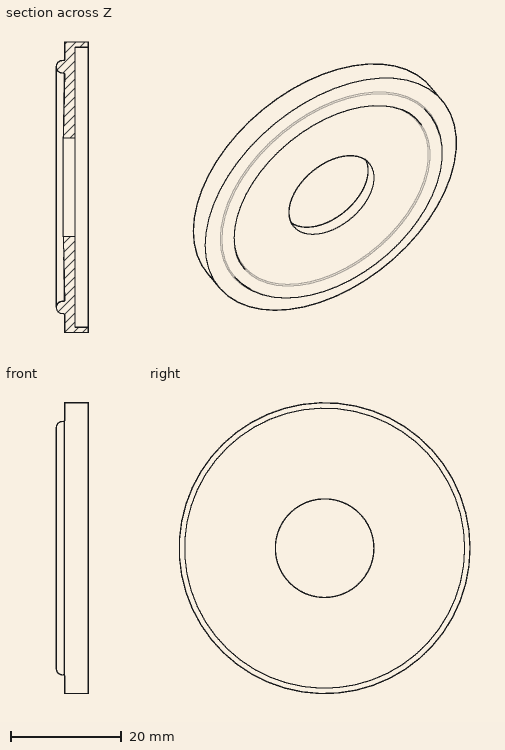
import cadquery as cq
import math

outer_diameter = 52.5
total_thickness = 5.8
disc_thickness = 4.25
hole_diameter = 17.75
hole_length = 2.15
hole_rise = 0.25
bead_middle_radius = 21.75
bead_radius = 1.15
foot_radius = 0.2
recess_diameter = 50.5

outer_radius = outer_diameter / 2
hole_radius = hole_diameter / 2
recess_radius = recess_diameter / 2

back_x = total_thickness / 2
crest_x = -back_x
front_x = back_x - disc_thickness
hole_front_x = front_x - hole_rise
recess_floor_x = hole_front_x + hole_length

bead_center_x = crest_x + bead_radius
foot_center_x = front_x - foot_radius
foot_axial = foot_center_x - bead_center_x
foot_offset = math.sqrt((bead_radius + foot_radius) ** 2 - foot_axial**2)
foot_angle = math.atan2(foot_axial, foot_offset)
join_x = bead_center_x + bead_radius * math.sin(foot_angle)
join_offset = bead_radius * math.cos(foot_angle)

middle_angle = (math.pi / 2 - foot_angle) / 2
foot_middle_x = foot_center_x + foot_radius * math.sin(middle_angle)
foot_middle_offset = foot_offset - foot_radius * math.cos(middle_angle)

section = (
    cq.Workplane("XY")
    .moveTo(recess_floor_x, hole_radius)
    .lineTo(hole_front_x, hole_radius)
    .lineTo(front_x, bead_middle_radius - foot_offset)
    .threePointArc(
        (foot_middle_x, bead_middle_radius - foot_middle_offset),
        (join_x, bead_middle_radius - join_offset),
    )
    .threePointArc(
        (crest_x, bead_middle_radius),
        (join_x, bead_middle_radius + join_offset),
    )
    .threePointArc(
        (foot_middle_x, bead_middle_radius + foot_middle_offset),
        (front_x, bead_middle_radius + foot_offset),
    )
    .lineTo(front_x, outer_radius)
    .lineTo(back_x, outer_radius)
    .lineTo(back_x, recess_radius)
    .lineTo(recess_floor_x, recess_radius)
    .close()
)

result = section.revolve(360, (0, 0, 0), (1, 0, 0))